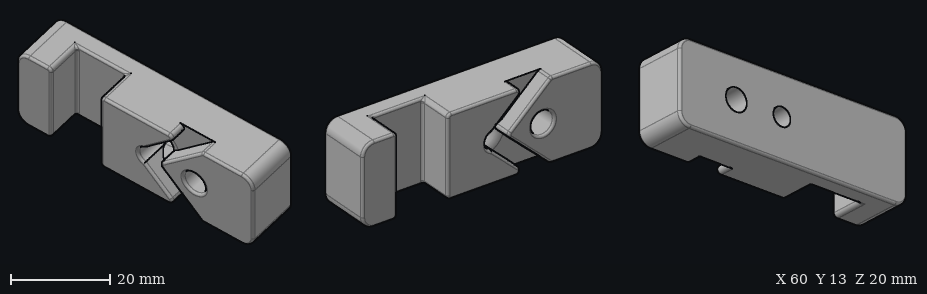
import cadquery as cq
import math

length = 60.0
depth = 13.0
height = 20.0
corner_radius = 3.0
rim_radius = 0.6

channel_x = -15.0
channel_width = 12.4
channel_floor_y = 8.4
channel_corner_radius = 0.6
channel_floor_edge_radius = 0.6
channel_mouth_radius = 1.0

groove_x = 3.0
groove_width = 4.0
groove_hole_diameter = 4.5
groove_floor_y = 4.0
groove_run = 11.0
groove_mouth_radius = 1.0
bell_radius = 3.0

side_hole_x = 15.0
side_hole_diameter = 5.5

half_height = height / 2
channel_left_x = channel_x - channel_width / 2
channel_right_x = channel_x + channel_width / 2
groove_slope = math.atan2(half_height, groove_run)
groove_angle = math.degrees(groove_slope)
wall_offset = groove_width / 2 / math.sin(groove_slope)
groove_tip_x = groove_x + wall_offset


def make_body():
    block = cq.Workplane("XY").box(length, depth, height).translate((0, depth / 2, 0))
    return block.edges("|Y").fillet(corner_radius)


def make_channel():
    return (
        cq.Workplane("XY")
        .box(channel_width, channel_floor_y, height)
        .translate((channel_x, channel_floor_y / 2, 0))
    )


def make_hole(x, diameter):
    return cq.Workplane("XZ", origin=(x, 0, 0)).circle(diameter / 2).extrude(-depth)


def make_groove_legs(floor_y):
    """Two straight legs running from the small hole out through the top and bottom."""
    leg = (
        cq.Workplane("XY")
        .box(height, floor_y, groove_width)
        .translate((height / 2, floor_y / 2, 0))
    )
    upper = leg.rotate((0, 0, 0), (0, 1, 0), -groove_angle)
    lower = leg.rotate((0, 0, 0), (0, 1, 0), groove_angle)
    return upper.union(lower).translate((groove_x, 0, 0))


def make_bell():
    """Rounded run-in from the groove floor to the small hole, kept within the groove's walls."""
    hole_radius = groove_hole_diameter / 2
    bell_end_y = groove_floor_y + bell_radius
    arc_drop = bell_radius * math.sqrt(0.5)
    bell_outer_radius = hole_radius + bell_radius
    bell = (
        cq.Workplane("XY")
        .lineTo(bell_outer_radius, 0)
        .lineTo(bell_outer_radius, groove_floor_y)
        .threePointArc(
            (bell_outer_radius - arc_drop, bell_end_y - arc_drop),
            (hole_radius, bell_end_y),
        )
        .lineTo(0, bell_end_y)
        .close()
        .revolve(360, (0, 0, 0), (0, 1, 0))
        .translate((groove_x, 0, 0))
    )
    return bell.intersect(make_groove_legs(bell_end_y))


def fillet_edges_at(body, points, radius):
    """Fillet the edge nearest to each point."""
    edges = body.edges().vals()
    chosen = [min(edges, key=cq.Vertex.makeVertex(*point).distance) for point in points]
    return body.newObject(chosen).fillet(radius)


def at_both_ends(x_values, y):
    """Points on the top and bottom faces."""
    return [(x, y, z) for x in x_values for z in (-half_height, half_height)]


def round_groove(body):
    mouth_middle = groove_x + groove_run
    mouth_x = (mouth_middle - wall_offset, mouth_middle + wall_offset)
    corners = at_both_ends(mouth_x, groove_floor_y / 2)
    corners.append((groove_tip_x, groove_floor_y / 2, 0))
    return fillet_edges_at(body, corners, groove_mouth_radius)


def round_channel(body):
    walls_x = (channel_left_x, channel_right_x)
    mouth = at_both_ends(walls_x, channel_floor_y / 2)
    body = fillet_edges_at(body, mouth, channel_mouth_radius)
    floor_ends = at_both_ends([channel_x], channel_floor_y)
    body = fillet_edges_at(body, floor_ends, channel_floor_edge_radius)
    inner_corners = [(x, channel_floor_y, 0) for x in walls_x]
    return fillet_edges_at(body, inner_corners, channel_corner_radius)


def round_rims(body):
    """Round every front edge and the outline of the back face; the holes stay sharp at the back."""
    body = body.faces("<Y").edges().fillet(rim_radius)
    back_outline = body.faces(">Y").val().outerWire().Edges()
    return body.newObject(back_outline).fillet(rim_radius)


result = make_body()
result = result.cut(make_channel())
result = result.cut(make_groove_legs(groove_floor_y))
result = result.cut(make_hole(groove_x, groove_hole_diameter))
result = result.cut(make_bell())
result = result.cut(make_hole(side_hole_x, side_hole_diameter))
result = round_groove(result)
result = round_channel(result)
result = round_rims(result)